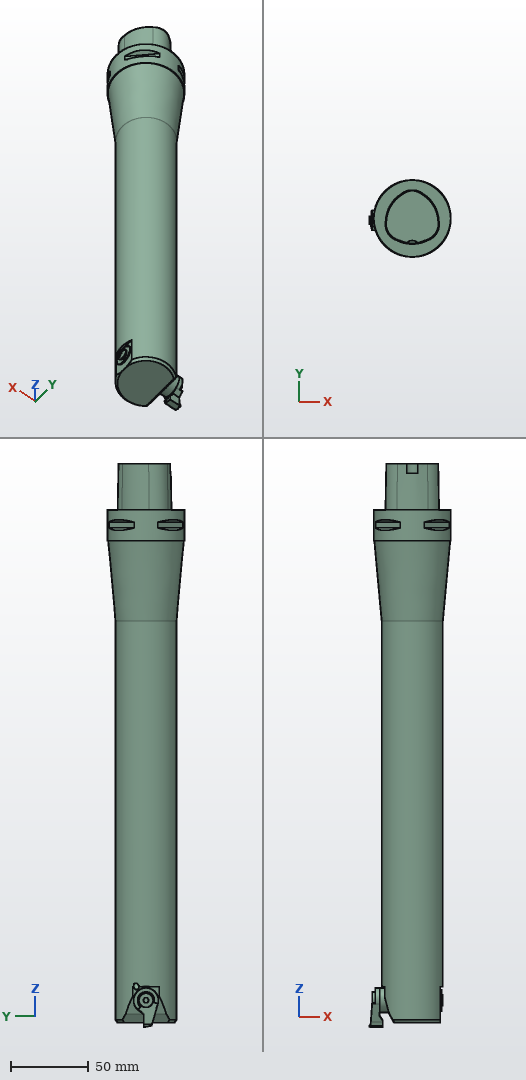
import cadquery as cq
import math

TOP_Z = 366.0
COLLAR_TOP_Z = 336.0
COLLAR_BOTTOM_Z = 316.0
NECK_BOTTOM_Z = 264.0
BAR_END_Z = 3.0

COLLAR_DIAMETER = 50.0
NECK_TOP_DIAMETER = 49.5
BAR_DIAMETER = 40.0
BAR_RADIUS = BAR_DIAMETER / 2
END_CHAMFER_HEIGHT = 2.2
END_CHAMFER_WIDTH = 1.5

LOBE_COUNT = 3
KEYED_FLANK_ANGLE = -90
LOBE_RADIUS = 18.0
FLANK_RADIUS = 16.0
SEAM_RADIUS = 17.0
SEAM_ANGLE = 35.5
SHANK_GROWTH = 0.55
KEYWAY_DIAMETER = 9.0
KEYWAY_HEIGHT = 6.2
KEYWAY_DEPTH = 2.0

SLOT_COUNT = 4
SLOT_FLOOR_RADIUS = 22.5
SLOT_CENTER_Z = 326.0
SLOT_FLOOR_HEIGHT = 3.5
SLOT_MOUTH_HEIGHT = 7.0

FRONT_FLAT_X = -18.0
REAR_FLAT_X = 18.3
FLAT_TOP_Z = 26.5
RELIEF_TOP_Z = 27.5
RELIEF_KNEE_X = -15.0
RELIEF_KNEE_Z = 8.8
RELIEF_BOTTOM_X = -11.7

SCREW_Z = 17.5
SEAT_DIAMETER = 16.0
SEAT_FACE_X = -21.2
REAR_BOSS_DIAMETER = 14.0
REAR_BOSS_FACE_X = 19.0
REAR_STUD_DIAMETER = 7.5
REAR_STUD_FACE_X = 19.8

COOLANT_DIAMETER = 3.6
COOLANT_Y = 6.2
COOLANT_Z = 27.0
COOLANT_DEPTH = 7.5
COOLANT_ANGLE = 45.0

INSERT_FACE_X = -24.0
INSERT_BOSS_DIAMETER = 11.0
INSERT_BOSS_FACE_X = -26.0
ARM_LEFT_Y = 1.5
ARM_LEFT_TOP_Z = 8.5
ARM_LEFT_TANGENT_ANGLE = -50.0
ARM_RIGHT_TANGENT_ANGLE = -165.0
ARM_TOE_Y = -3.5
ARM_TOE_Z = 1.0
ARM_HEEL_Y = -4.5
ARM_HEEL_Z = 3.5
TIP_X = -28.0
TIP_Z = 0.7
EDGE_FRONT_X = -27.0
EDGE_FRONT_TOP_Z = 2.2
EDGE_BACK_X = -19.0
EDGE_BACK_TOP_Z = 4.5
EDGE_FLARE_Z = 7.7

HEAD_DIAMETER = 9.0
HEAD_SEAT_X = -23.5
SCREW_DIAMETER = 6.0
SCREW_END_X = -9.0
SOCKET_DIAMETER = 3.6
SOCKET_DEPTH = 1.5


def x_cylinder(diameter, x_start, x_end):
    """Cylinder on the screw axis between two X positions."""
    axis_start = cq.Vector(x_start, 0, SCREW_Z)
    axis_direction = cq.Vector(1, 0, 0)
    solid = cq.Solid.makeCylinder(diameter / 2, x_end - x_start, axis_start, axis_direction)
    return cq.Workplane(obj=solid)


def polar_point(radius, angle):
    """Plane point at a radius and an angle in degrees."""
    return (radius * math.cos(math.radians(angle)), radius * math.sin(math.radians(angle)))


def shank_outline(workplane, growth):
    """Closed three-lobed outline: wide flank arcs joined by tighter lobe arcs."""
    seam = SEAM_RADIUS + growth
    outline = workplane.moveTo(*polar_point(seam, KEYED_FLANK_ANGLE - SEAM_ANGLE))
    pitch = 360 / LOBE_COUNT
    for index in range(LOBE_COUNT):
        flank_angle = KEYED_FLANK_ANGLE + index * pitch
        outline = outline.threePointArc(
            polar_point(FLANK_RADIUS + growth, flank_angle),
            polar_point(seam, flank_angle + SEAM_ANGLE),
        ).threePointArc(
            polar_point(LOBE_RADIUS + growth, flank_angle + pitch / 2),
            polar_point(seam, flank_angle + pitch - SEAM_ANGLE),
        )
    return outline.close()


def make_shank():
    """Tapered polygon shank with a round-floored keyway at the top of its -Y flank."""
    base = shank_outline(cq.Workplane("XY", origin=(0, 0, COLLAR_TOP_Z)), SHANK_GROWTH)
    shank_height = TOP_Z - COLLAR_TOP_Z
    shank = shank_outline(base.workplane(offset=shank_height), 0).loft(ruled=True)
    keyway_y = KEYWAY_DEPTH - FLANK_RADIUS - KEYWAY_DIAMETER / 2
    keyway = (
        cq.Workplane("XY", origin=(0, keyway_y, TOP_Z))
        .circle(KEYWAY_DIAMETER / 2)
        .extrude(-KEYWAY_HEIGHT)
    )
    return shank.cut(keyway)


def make_turned_blank():
    """Collar, tapered neck and round bar as one revolved profile."""
    collar_radius = COLLAR_DIAMETER / 2
    end_radius = BAR_RADIUS - END_CHAMFER_WIDTH
    return (
        cq.Workplane("XZ")
        .moveTo(0, BAR_END_Z)
        .lineTo(end_radius, BAR_END_Z)
        .lineTo(BAR_RADIUS, BAR_END_Z + END_CHAMFER_HEIGHT)
        .lineTo(BAR_RADIUS, NECK_BOTTOM_Z)
        .lineTo(NECK_TOP_DIAMETER / 2, COLLAR_BOTTOM_Z)
        .lineTo(collar_radius, COLLAR_BOTTOM_Z)
        .lineTo(collar_radius, COLLAR_TOP_Z)
        .lineTo(0, COLLAR_TOP_Z)
        .close()
        .revolve(360, (0, 0, 0), (0, 1, 0))
    )


def cut_gripper_slots(bar):
    """Chord slots with a flat floor and flared walls, spaced evenly around the collar."""
    slot = (
        cq.Workplane("XZ")
        .moveTo(SLOT_FLOOR_RADIUS, SLOT_CENTER_Z - SLOT_FLOOR_HEIGHT / 2)
        .lineTo(COLLAR_DIAMETER / 2, SLOT_CENTER_Z - SLOT_MOUTH_HEIGHT / 2)
        .lineTo(COLLAR_DIAMETER / 2, SLOT_CENTER_Z + SLOT_MOUTH_HEIGHT / 2)
        .lineTo(SLOT_FLOOR_RADIUS, SLOT_CENTER_Z + SLOT_FLOOR_HEIGHT / 2)
        .close()
        .extrude(COLLAR_DIAMETER / 2, both=True)
    )
    for index in range(SLOT_COUNT):
        angle = (index + 0.5) * 360 / SLOT_COUNT
        bar = bar.cut(slot.rotate((0, 0, 0), (0, 0, 1), angle))
    return bar


def cut_end_flats(bar):
    """Flats on both X sides and a two-step relief under the insert."""
    flat_box = cq.Workplane("XY").box(
        BAR_DIAMETER, BAR_DIAMETER, FLAT_TOP_Z, centered=(False, True, False)
    )
    bar = bar.cut(flat_box.translate((REAR_FLAT_X, 0, 0)))
    bar = bar.cut(flat_box.translate((FRONT_FLAT_X - BAR_DIAMETER, 0, 0)))
    relief = (
        cq.Workplane("XZ")
        .moveTo(-BAR_RADIUS, RELIEF_TOP_Z)
        .lineTo(RELIEF_KNEE_X, RELIEF_KNEE_Z)
        .lineTo(RELIEF_BOTTOM_X, BAR_END_Z)
        .lineTo(-BAR_DIAMETER, BAR_END_Z)
        .lineTo(-BAR_DIAMETER, RELIEF_TOP_Z)
        .close()
        .extrude(BAR_RADIUS, both=True)
    )
    return bar.cut(relief)


def cut_coolant_hole(bar):
    """Blind coolant hole sloping up into the bar beside the insert."""
    slope = math.radians(COOLANT_ANGLE)
    direction = cq.Vector(math.cos(slope), 0, math.sin(slope))
    mouth = cq.Vector(FRONT_FLAT_X, COOLANT_Y, COOLANT_Z)
    drill = cq.Solid.makeCylinder(
        COOLANT_DIAMETER / 2, 2 * COOLANT_DEPTH, mouth - direction * COOLANT_DEPTH, direction
    )
    return bar.cut(cq.Workplane(obj=drill))


def make_bar():
    """Boring bar with its shank, cutting-end features and screw hole."""
    bar = make_turned_blank().union(make_shank())
    bar = cut_gripper_slots(bar)
    bar = cut_end_flats(bar)
    bar = cut_coolant_hole(bar)
    bar = bar.union(x_cylinder(SEAT_DIAMETER, SEAT_FACE_X, 0))
    bar = bar.union(x_cylinder(REAR_BOSS_DIAMETER, 0, REAR_BOSS_FACE_X))
    bar = bar.union(x_cylinder(REAR_STUD_DIAMETER, 0, REAR_STUD_FACE_X))
    return bar.cut(x_cylinder(SCREW_DIAMETER, SEAT_FACE_X, SCREW_END_X))


def make_arm():
    """Cutting arm: its outline across the bar trimmed by its side profile."""
    disc_radius = SEAT_DIAMETER / 2
    left_y, left_z = polar_point(disc_radius, ARM_LEFT_TANGENT_ANGLE)
    right_y, right_z = polar_point(disc_radius, ARM_RIGHT_TANGENT_ANGLE)
    arm_face = (
        cq.Workplane("YZ")
        .moveTo(ARM_LEFT_Y, 0)
        .lineTo(ARM_LEFT_Y, ARM_LEFT_TOP_Z)
        .lineTo(left_y, SCREW_Z + left_z)
        .lineTo(0, SCREW_Z)
        .lineTo(right_y, SCREW_Z + right_z)
        .lineTo(ARM_HEEL_Y, ARM_HEEL_Z)
        .lineTo(ARM_TOE_Y, ARM_TOE_Z)
        .close()
        .extrude(BAR_DIAMETER, both=True)
    )
    arm_profile = (
        cq.Workplane("XZ")
        .moveTo(TIP_X, TIP_Z)
        .lineTo(EDGE_FRONT_X, 0)
        .lineTo(EDGE_BACK_X, 0)
        .lineTo(EDGE_BACK_X, EDGE_BACK_TOP_Z)
        .lineTo(SEAT_FACE_X, EDGE_FLARE_Z)
        .lineTo(SEAT_FACE_X, SCREW_Z)
        .lineTo(INSERT_BOSS_FACE_X, SCREW_Z)
        .lineTo(EDGE_FRONT_X, EDGE_FRONT_TOP_Z)
        .close()
        .extrude(BAR_DIAMETER, both=True)
    )
    return arm_face.intersect(arm_profile)


def make_insert():
    """Disc with a raised boss, a cutting arm and a recess for the screw head."""
    insert = x_cylinder(SEAT_DIAMETER, INSERT_FACE_X, SEAT_FACE_X)
    insert = insert.union(x_cylinder(INSERT_BOSS_DIAMETER, INSERT_BOSS_FACE_X, SEAT_FACE_X))
    insert = insert.union(make_arm())
    insert = insert.cut(x_cylinder(HEAD_DIAMETER, TIP_X, HEAD_SEAT_X))
    return insert.cut(x_cylinder(SCREW_DIAMETER, HEAD_SEAT_X, SEAT_FACE_X))


def make_screw():
    """Socket screw, its head flush with the insert boss."""
    screw = x_cylinder(HEAD_DIAMETER, INSERT_BOSS_FACE_X, HEAD_SEAT_X)
    screw = screw.union(x_cylinder(SCREW_DIAMETER, HEAD_SEAT_X, SCREW_END_X))
    socket = (
        cq.Workplane("YZ", origin=(INSERT_BOSS_FACE_X, 0, SCREW_Z))
        .polygon(6, SOCKET_DIAMETER)
        .extrude(SOCKET_DEPTH)
    )
    return screw.cut(socket)


bar = make_bar()
insert = make_insert()
screw = make_screw()

result = cq.Compound.makeCompound([bar.val(), insert.val(), screw.val()])